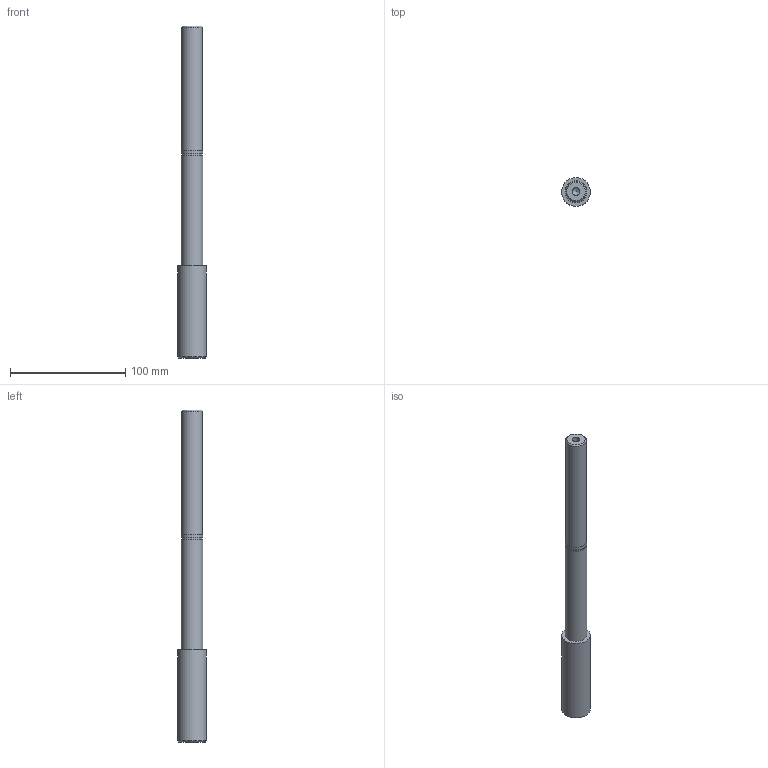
import cadquery as cq
import math

total_length = 288.5

head_diameter = 25.0
head_length = 80.0
head_chamfer = 1.0

fitted_diameter = 18.0
shank_length = 100.0
shank_diameter = 19.0
top_chamfer = 1.0

collar_length = 2.5
groove_width = 1.5
groove_depth = 0.5

hole_diameter = 6.8
hole_depth = 25.0
drill_point_angle = 118.0

head_radius = head_diameter / 2
fitted_radius = fitted_diameter / 2
shank_radius = shank_diameter / 2
groove_radius = shank_radius - groove_depth
collar_top = head_length + shank_length
groove_top = collar_top - collar_length
groove_bottom = groove_top - groove_width


def make_body():
    """Revolve the half outline of the stepped pin about Z."""
    return (
        cq.Workplane("XZ")
        .moveTo(0, 0)
        .lineTo(head_radius - head_chamfer, 0)
        .lineTo(head_radius, head_chamfer)
        .lineTo(head_radius, head_length)
        .lineTo(shank_radius, head_length)
        .lineTo(shank_radius, groove_bottom)
        .lineTo(groove_radius, groove_bottom)
        .lineTo(groove_radius, groove_top)
        .lineTo(shank_radius, groove_top)
        .lineTo(shank_radius, collar_top)
        .lineTo(fitted_radius, collar_top)
        .lineTo(fitted_radius, total_length - top_chamfer)
        .lineTo(fitted_radius - top_chamfer, total_length)
        .lineTo(0, total_length)
        .close()
        .revolve(360, (0, 0, 0), (0, 1, 0))
    )


def make_hole():
    """Blind drilled hole, entering from the top end."""
    hole_radius = hole_diameter / 2
    hole_bottom = total_length - hole_depth
    point_height = hole_radius / math.tan(math.radians(drill_point_angle / 2))
    return (
        cq.Workplane("XZ")
        .moveTo(0, total_length)
        .lineTo(hole_radius, total_length)
        .lineTo(hole_radius, hole_bottom)
        .lineTo(0, hole_bottom - point_height)
        .close()
        .revolve(360, (0, 0, 0), (0, 1, 0))
    )


result = make_body().cut(make_hole())